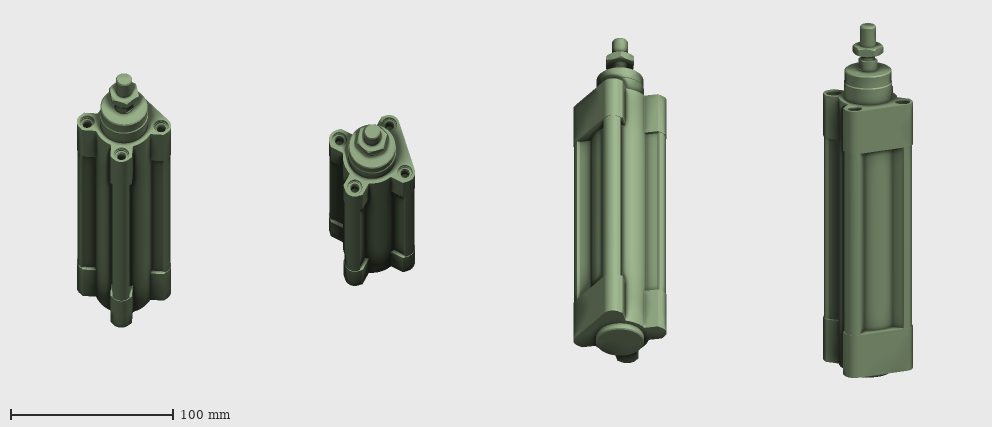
import cadquery as cq
import math

total_height = 225.0
boss_height = 4.3
cap_height = 27.7
head_top = 178.0
collar_height = 10.8
seal_height = 7.7
shoulder_height = 203.0
nut_base = 207.0
nut_height = 5.0

cap_width = 45.0
body_radius = 18.0
match_tolerance = 0.02
screw_spacing = 32.5
cap_flank_offset = 9.5
cap_root_fillet = 1.0

barrel_width = 44.3
barrel_flank_offset = 6.3
barrel_flank_end = 14.0
barrel_lip = 14.6
barrel_root_fillet = 0.7

collar_diameter = 30.0
seal_diameter = 29.0
seal_waist_diameter = 28.8
rim_chamfer = 0.7

mouth_diameter = 9.5
mouth_depth = 0.7
bore_diameter = 8.8
bore_depth = 1.5
lower_bore_diameter = 8.0
lower_bore_depth = 2.5
socket_mouth_diameter = 6.0
socket_diameter = 5.0
countersink_depth = 3.5
socket_depth = 10.8
drill_point_angle = 118.0

rod_diameter = 12.0
flat_width = 10.0
flat_base_gap = 0.7
thread_diameter = 10.0
thread_chamfer = 0.7
thread_chamfer_height = 1.0
runout_diameter = 9.5
neck_diameter = 8.0
neck_arc_radius = 2.7
neck_collar_diameter = 8.8
neck_collar_height = 1.1

nut_sides = 6
nut_across_flats = 16.9
point_direction = 90.0
nut_chamfer_angle = 30.0

base_top = boss_height + cap_height
head_base = head_top - cap_height
collar_top = head_top + collar_height
seal_top = collar_top + seal_height


def flank_meets_body(offset):
    """Point (long, short) where the line long - short = offset crosses the body circle."""
    short = (math.sqrt(2 * body_radius**2 - offset**2) - offset) / 2
    return short + offset, short


def ribbed_profile(width, flank, height, z, root_fillet):
    """Round body with four equal corner lugs.

    flank lists the (x, y) points of one lug side, from the body circle out to the lug corner arc.
    """
    half = width / 2
    screw = screw_spacing / 2
    mid_arc = screw + (half - screw) * math.sqrt(0.5)
    side = flank + [(half, screw)]
    outline = cq.Workplane("XY", origin=(0, 0, z)).moveTo(*side[0])
    for quarter in range(4):
        for point in side[1:]:
            outline = outline.lineTo(*turned(point, quarter))
        outline = outline.threePointArc(
            turned((mid_arc, mid_arc), quarter), turned((screw, half), quarter)
        )
        for x, y in reversed(flank):
            outline = outline.lineTo(*turned((y, x), quarter))
        outline = outline.threePointArc(
            turned((0, body_radius), quarter), turned(side[0], quarter + 1)
        )
    solid = outline.close().extrude(height)
    roots = solid.edges("|Z").filter(lambda edge: is_on_body(edge.Center()))
    return roots.fillet(root_fillet)


def turned(point, quarters):
    """Point turned about the cylinder axis by a number of quarter turns."""
    x, y = point
    for _ in range(quarters):
        x, y = -y, x
    return x, y


def is_on_body(point):
    """True where a lug side meets the round body."""
    return abs(math.hypot(point.x, point.y) - body_radius) < match_tolerance


def cap_plate(z):
    """Cap with four screw lugs, filled in to a flat face on +Y."""
    half = cap_width / 2
    flank = [flank_meets_body(cap_flank_offset), (half, half - cap_flank_offset)]
    lugs = ribbed_profile(cap_width, flank, cap_height, z, cap_root_fillet)
    pad = cq.Workplane("XY", origin=(0, 0, z)).box(
        screw_spacing, half, cap_height, centered=(True, False, False)
    )
    return lugs.union(pad)


def barrel():
    """Round tube with four corner ribs, each with a steeper lip at its outer edge."""
    flank = [
        flank_meets_body(barrel_flank_offset),
        (barrel_flank_end + barrel_flank_offset, barrel_flank_end),
        (barrel_width / 2, barrel_lip),
    ]
    return ribbed_profile(barrel_width, flank, head_base - base_top, base_top, barrel_root_fillet)


def disc(diameter, z, height, chamfered_face):
    """Round step with a chamfered rim on the chosen end."""
    step = cq.Workplane("XY", origin=(0, 0, z)).circle(diameter / 2).extrude(height)
    return step.faces(chamfered_face).chamfer(rim_chamfer)


def seal():
    """Ring around the rod with a slight concave waist and a chamfered top rim."""
    radius = seal_diameter / 2
    rim_z = seal_top - rim_chamfer
    return (
        cq.Workplane("XZ")
        .moveTo(0, collar_top)
        .lineTo(radius, collar_top)
        .threePointArc((seal_waist_diameter / 2, (collar_top + rim_z) / 2), (radius, rim_z))
        .lineTo(radius - rim_chamfer, seal_top)
        .lineTo(0, seal_top)
        .close()
        .revolve(360, (0, 0), (0, 1))
    )


def screw_recess():
    """Cutter for one tie screw: tapered mouth, stepped bore and countersunk socket with a drill point."""
    point = socket_diameter / 2 / math.tan(math.radians(drill_point_angle / 2))
    return (
        cq.Workplane("XZ")
        .lineTo(mouth_diameter / 2, 0)
        .lineTo(bore_diameter / 2, -mouth_depth)
        .lineTo(bore_diameter / 2, -bore_depth)
        .lineTo(lower_bore_diameter / 2, -bore_depth)
        .lineTo(lower_bore_diameter / 2, -lower_bore_depth)
        .lineTo(socket_mouth_diameter / 2, -lower_bore_depth)
        .lineTo(socket_diameter / 2, -countersink_depth)
        .lineTo(socket_diameter / 2, -socket_depth)
        .lineTo(0, -socket_depth - point)
        .close()
        .revolve(360, (0, 0), (0, 1))
    )


def build_housing():
    """Barrel, two caps, collar, seal and boss; uncleaned joins keep the cap joint lines."""
    pieces = [
        cap_plate(boss_height),
        cap_plate(head_base),
        disc(collar_diameter, 0, boss_height, "<Z"),
        disc(collar_diameter, head_top, collar_height, ">Z"),
        seal(),
    ]
    body = barrel()
    for piece in pieces:
        body = body.union(piece, clean=False)
    recess = screw_recess()
    for x in (-screw_spacing / 2, screw_spacing / 2):
        for y in (-screw_spacing / 2, screw_spacing / 2):
            body = body.cut(recess.translate((x, y, head_top)), clean=False)
    rod_bore = (
        cq.Workplane("XY", origin=(0, 0, head_base))
        .circle(rod_diameter / 2)
        .extrude(seal_top - head_base)
    )
    return body.cut(rod_bore, clean=False)


def build_rod():
    """Piston rod with wrench flats, a necked run-out and a threaded end modelled plain."""
    neck_z = shoulder_height + neck_collar_height
    thread_r = thread_diameter / 2
    shaft = (
        cq.Workplane("XZ")
        .moveTo(0, head_base)
        .lineTo(rod_diameter / 2, head_base)
        .lineTo(rod_diameter / 2, shoulder_height)
        .lineTo(neck_collar_diameter / 2, shoulder_height)
        .lineTo(neck_collar_diameter / 2, neck_z)
        .lineTo(neck_diameter / 2, neck_z)
        .radiusArc((runout_diameter / 2, nut_base), neck_arc_radius)
        .lineTo(thread_r, nut_base)
        .lineTo(thread_r, total_height - thread_chamfer_height)
        .lineTo(thread_r - thread_chamfer, total_height)
        .lineTo(0, total_height)
        .close()
        .revolve(360, (0, 0), (0, 1))
    )
    flat_base = seal_top + flat_base_gap
    flat_height = shoulder_height - flat_base
    for side in (-1, 1):
        flat_cutter = cq.Workplane("XY").box(
            rod_diameter, rod_diameter, flat_height, centered=(True, True, False)
        )
        shaft = shaft.cut(
            flat_cutter.translate((side * (flat_width + rod_diameter) / 2, 0, flat_base))
        )
    return shaft


def build_nut():
    """Hexagon lock nut with its points along Y and both ends chamfered."""
    across_corners = nut_across_flats / math.cos(math.pi / nut_sides)
    corner_drop = (across_corners - nut_across_flats) / 2 * math.tan(math.radians(nut_chamfer_angle))
    hexagon = (
        cq.Workplane("XY", origin=(0, 0, nut_base))
        .transformed(rotate=(0, 0, point_direction))
        .polygon(nut_sides, across_corners)
        .extrude(nut_height)
    )
    nut_top = nut_base + nut_height
    envelope = (
        cq.Workplane("XZ")
        .moveTo(0, nut_base)
        .lineTo(nut_across_flats / 2, nut_base)
        .lineTo(across_corners / 2, nut_base + corner_drop)
        .lineTo(across_corners / 2, nut_top - corner_drop)
        .lineTo(nut_across_flats / 2, nut_top)
        .lineTo(0, nut_top)
        .close()
        .revolve(360, (0, 0), (0, 1))
    )
    bore = cq.Workplane("XY", origin=(0, 0, nut_base)).circle(thread_diameter / 2).extrude(nut_height)
    return hexagon.intersect(envelope).cut(bore)


housing = build_housing()
rod = build_rod()
nut = build_nut()

result = cq.Compound.makeCompound([housing.val(), rod.val(), nut.val()])